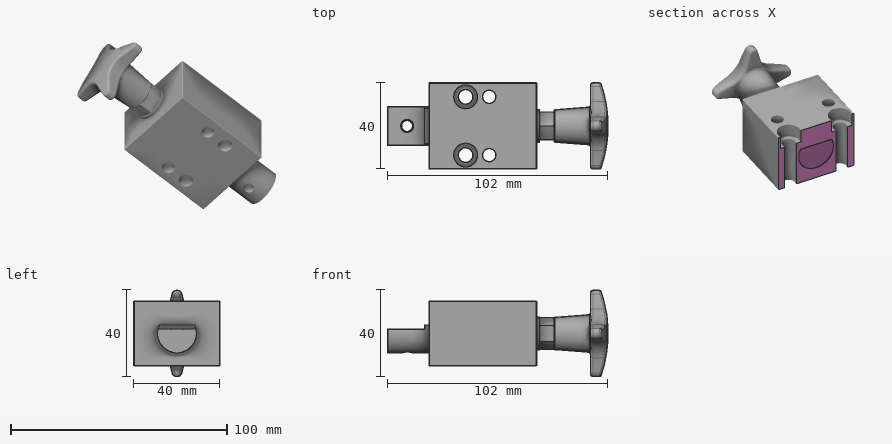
import cadquery as cq
import math


block_length = 50.0
block_width = 40.0
block_height = 30.0
block_start = 19.0
block_end = block_start + block_length
edge_chamfer = 0.3

hole_spacing = 26.9
screw_x = block_start + 17.0
dowel_x = block_start + 27.9
screw_diameter = 6.6
counterbore_diameter = 11.0
counterbore_depth = 6.5
dowel_diameter = 6.0

slide_radius = 9.0
slide_flat_height = 4.0
nose_flat_height = 2.0
nose_length = 17.0
cross_hole_x = 9.0
cross_hole_diameter = 5.0
countersink_diameter = 6.0
countersink_angle = 90

neck_radius = 7.5
hex_sides = 6
hex_across_flats = 13.0
hex_corner_radius = hex_across_flats / math.sqrt(3)
hex_start = 70.1
hex_end = 76.9
hex_bevel_depth = 0.5
hex_bevel_length = 0.3
neck_bevel = 0.4
neck_large_radius = 8.8
neck_flare = 0.4

star_start = 93.7
star_radius = block_width / 2
star_end = 102.0
dome_radius = 58.1
lobe_count = 4
lobe_tip_radius = 2.3
lobe_taper = 15.0
valley_start = 11.2
back_fillet = 1.2
dome_fillet = 1.0


def d_bar(start, length, flat_height):
    """Round bar along X with a flat facing up."""
    bar = cq.Workplane("YZ", origin=(start, 0, 0)).circle(slide_radius).extrude(length)
    flat_cut_height = slide_radius - flat_height
    flat_cut = cq.Workplane("XY").box(
        length, 2 * slide_radius, flat_cut_height, centered=(False, True, False)
    )
    return bar.cut(flat_cut.translate((start, 0, flat_height)))


def make_housing():
    """Block with a D-shaped bore, counterbored screw holes and dowel holes."""
    block = cq.Workplane("XY").box(block_length, block_width, block_height)
    block = block.edges().chamfer(edge_chamfer).translate((block_start + block_length / 2, 0, 0))
    block = block.cut(d_bar(block_start, block_length, slide_flat_height))
    top = cq.Workplane("XY", origin=(0, 0, block_height / 2))
    for side in (-1, 1):
        hole_y = side * hole_spacing / 2
        screw_hole = top.center(screw_x, hole_y).circle(screw_diameter / 2).extrude(-block_height)
        counterbore = (
            top.center(screw_x, hole_y).circle(counterbore_diameter / 2).extrude(-counterbore_depth)
        )
        dowel_hole = top.center(dowel_x, hole_y).circle(dowel_diameter / 2).extrude(-block_height)
        block = block.cut(screw_hole).cut(counterbore).cut(dowel_hole)
    return block


def make_slide():
    """D-shaped slide with a lowered nose and a countersunk cross hole."""
    nose = d_bar(0, nose_length, nose_flat_height)
    nose = (
        nose.faces(">Z").workplane(origin=(cross_hole_x, 0, 0))
        .cskHole(cross_hole_diameter, countersink_diameter, countersink_angle)
    )
    return nose.union(d_bar(nose_length, block_end - nose_length, slide_flat_height))


def make_hexagon():
    """Hexagon with corners up and down, beveled at both ends."""
    hexagon = (
        cq.Workplane("YZ", origin=(hex_start, 0, 0))
        .polygon(hex_sides, 2 * hex_corner_radius)
        .extrude(hex_end - hex_start)
        .rotate((0, 0, 0), (1, 0, 0), 90)
    )
    bevel_radius = hex_corner_radius - hex_bevel_depth
    envelope = (
        cq.Workplane("XY")
        .moveTo(hex_start, 0)
        .lineTo(hex_start, bevel_radius)
        .lineTo(hex_start + hex_bevel_length, hex_corner_radius)
        .lineTo(hex_end - hex_bevel_length, hex_corner_radius)
        .lineTo(hex_end, bevel_radius)
        .lineTo(hex_end, 0)
        .close()
        .revolve(360, (0, 0, 0), (1, 0, 0))
    )
    return hexagon.intersect(envelope)


def make_neck():
    """Collar against the housing, hexagon and tapered neck that flares into the star."""
    collar_length = hex_start - block_end
    collar = cq.Workplane("YZ", origin=(block_end, 0, 0)).circle(neck_radius).extrude(collar_length)
    flare_radius = neck_large_radius + neck_flare
    taper = (
        cq.Workplane("XY")
        .moveTo(hex_end, 0)
        .lineTo(hex_end, neck_radius - neck_bevel)
        .lineTo(hex_end + neck_bevel, neck_radius)
        .lineTo(star_start - neck_flare, neck_large_radius)
        .radiusArc((star_start, flare_radius), neck_flare)
        .lineTo(star_start + back_fillet, flare_radius)
        .lineTo(star_start + back_fillet, 0)
        .close()
        .revolve(360, (0, 0, 0), (1, 0, 0))
    )
    return collar.union(make_hexagon()).union(taper)


def star_outline():
    """Closed outline of tapered, round-tipped lobes joined by tangent valley arcs."""
    taper = math.radians(lobe_taper)
    tip_center = star_radius - lobe_tip_radius
    tip_end = tip_center + lobe_tip_radius * math.sin(taper)
    tip_half_width = lobe_tip_radius * math.cos(taper)
    valley_half_width = tip_half_width + (tip_end - valley_start) * math.tan(taper)

    half_pitch = math.pi / lobe_count
    half_turn = half_pitch - taper
    half_chord = valley_start * math.sin(half_pitch) - valley_half_width * math.cos(half_pitch)
    chord_distance = valley_start * math.cos(half_pitch) + valley_half_width * math.sin(half_pitch)
    valley_depth = chord_distance - half_chord * math.tan(half_turn / 2)

    def point(lobe, along, across):
        angle = 2 * half_pitch * lobe
        return (
            along * math.cos(angle) - across * math.sin(angle),
            along * math.sin(angle) + across * math.cos(angle),
        )

    outline = cq.Workplane("YZ", origin=(star_start, 0, 0))
    outline = outline.moveTo(*point(0, valley_start, -valley_half_width))
    for lobe in range(lobe_count):
        outline = (
            outline
            .lineTo(*point(lobe, tip_end, -tip_half_width))
            .threePointArc(point(lobe, star_radius, 0), point(lobe, tip_end, tip_half_width))
            .lineTo(*point(lobe, valley_start, valley_half_width))
            .threePointArc(
                point(lobe + 0.5, valley_depth, 0),
                point(lobe + 1, valley_start, -valley_half_width),
            )
        )
    return outline.close()


def make_star():
    """Star grip with a domed end and rounded edges."""
    star = star_outline().extrude(star_end - star_start)
    dome = cq.Workplane("XY").sphere(dome_radius).translate((star_end - dome_radius, 0, 0))
    star = star.intersect(dome)
    star = star.faces("<X").edges().fillet(back_fillet)
    return star.faces(">X").edges().fillet(dome_fillet)


def make_plunger():
    """Slide, neck and star grip in one piece."""
    return make_slide().union(make_neck()).union(make_star())


housing = make_housing()
plunger = make_plunger()

result = cq.Compound.makeCompound([housing.val(), plunger.val()])